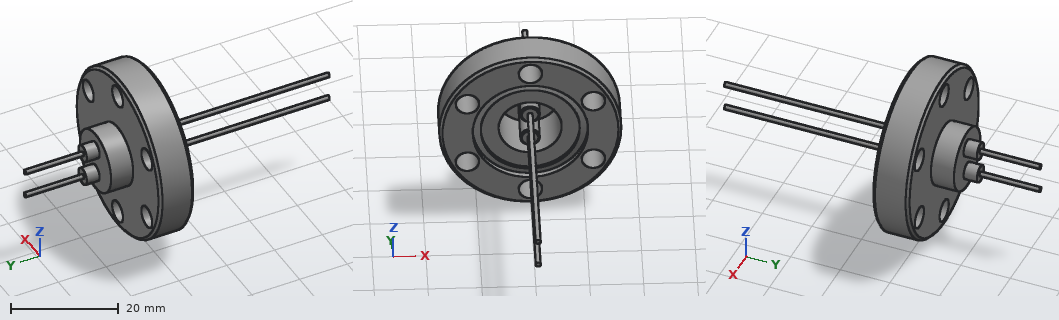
import cadquery as cq

flange_diameter = 33.8
flange_front = 5.1
flange_thickness = 7.3
flange_back = flange_front + flange_thickness
rim_chamfer = 0.6

bolt_count = 6
bolt_hole_diameter = 4.3
bolt_circle_diameter = 27.0

recess_diameter = 21.4
recess_depth = 1.3
knife_diameter = 18.35
knife_tip_depth = 0.65
inner_face_depth = 1.3

hub_diameter = 12.5
hub_back = 17.0
bore_diameter = 11.7
hub_wall = 1.3

pin_length = 63.5
pin_diameter = 0.95
pin_spacing = 5.35
sleeve_diameter = 3.6
sleeve_front = 6.6
sleeve_chamfer = 0.25
collar_diameter = 3.35
collar_back = 19.7


def cylinder(diameter, start, end, z=0):
    """Cylinder along +Y between two Y positions, at height z."""
    plane = cq.Plane(origin=(0, start, z), xDir=(1, 0, 0), normal=(0, 1, 0))
    return cq.Workplane(plane).circle(diameter / 2).extrude(end - start)


def sealing_recess():
    """Revolved pocket whose floor rises to the sharp knife edge."""
    inner_face = flange_front + inner_face_depth
    profile = [
        (0, flange_front),
        (recess_diameter / 2, flange_front),
        (recess_diameter / 2, flange_front + recess_depth),
        (knife_diameter / 2, flange_front + knife_tip_depth),
        (knife_diameter / 2, inner_face),
        (0, inner_face),
    ]
    return cq.Workplane("XY").polyline(profile).close().revolve(360, (0, 0, 0), (0, 1, 0))


def bolt_holes():
    """Through holes equally spaced, with one at the top."""
    plane = cq.Plane(origin=(0, flange_front, 0), xDir=(1, 0, 0), normal=(0, 1, 0))
    centres = cq.Workplane(plane).polarArray(bolt_circle_diameter / 2, 90, 360, bolt_count)
    return centres.circle(bolt_hole_diameter / 2).extrude(flange_thickness)


def insulated_pin(z):
    """Full-length pin inside a chamfered front sleeve and a back collar."""
    sleeve = cylinder(sleeve_diameter, sleeve_front, hub_back, z).faces("<Y").chamfer(sleeve_chamfer)
    collar = cylinder(collar_diameter, hub_back - hub_wall, collar_back, z)
    pin = cylinder(pin_diameter, -pin_length / 2, pin_length / 2, z)
    return sleeve.union(collar).union(pin)


flange = cylinder(flange_diameter, flange_front, flange_back).edges().chamfer(rim_chamfer)
hub = cylinder(hub_diameter, flange_back, hub_back)
bore = cylinder(bore_diameter, flange_front, hub_back - hub_wall)

result = flange.union(hub).cut(bore).cut(sealing_recess()).cut(bolt_holes())
for pin_height in (-pin_spacing / 2, pin_spacing / 2):
    result = result.union(insulated_pin(pin_height))